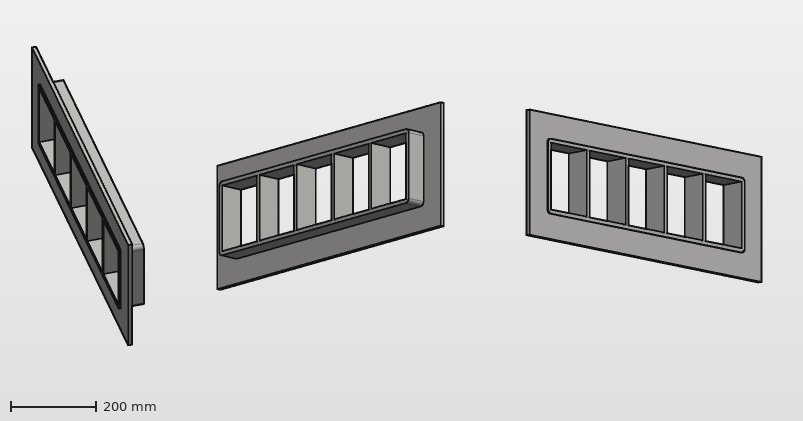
import cadquery as cq

window_count = 5
window_width = 120.5
window_height = 159.5
wall = 10.0
window_pitch = window_width + wall

collar_width = window_count * window_pitch + wall
collar_height = window_height + 2 * wall
collar_corner_radius = 10.0
collar_front_lip = 3.0
collar_depth = 60.0

flange_border = 60.0
flange_width = collar_width + 2 * flange_border
flange_height = collar_height + 2 * flange_border
flange_thickness = 10.0


def block(width, depth, height, front_y):
    """Box centred on X and Z, running in +Y from front_y."""
    return cq.Workplane("XY").box(width, depth, height, centered=(True, False, True)).translate((0, front_y, 0))


def make_flange():
    """Flat plate with its front face on Y = 0."""
    return block(flange_width, flange_thickness, flange_height, 0)


def make_collar():
    """Rounded box that stands proud of the flange in front and runs deep behind it."""
    collar = block(collar_width, collar_depth, collar_height, -collar_front_lip)
    return collar.edges("|Y").fillet(collar_corner_radius)


def make_windows():
    """Row of rectangular openings through the whole collar depth."""
    first_x = -(window_count - 1) * window_pitch / 2
    window = block(window_width, collar_depth, window_height, -collar_front_lip)
    windows = cq.Workplane("XY")
    for index in range(window_count):
        windows = windows.add(window.translate((first_x + index * window_pitch, 0, 0)))
    return windows.combine()


result = make_flange().union(make_collar()).cut(make_windows())